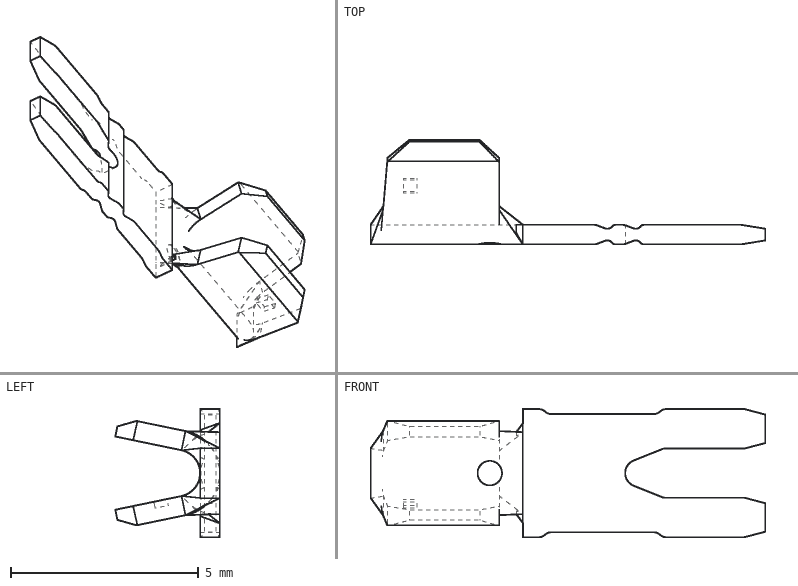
import cadquery as cq
import math

length = 10.54
plate_width = 3.43
height = 2.79
sheet = 0.53

bottom_radius = 1.15
bore_radius = bottom_radius - sheet
wing_angle = math.radians(11.7)
barrel_start = 0.25
barrel_end = 3.44
wing_start = 0.44
shoulder_height = 2.22
corner_depth = 0.5
crest_start = 1.03
crest_end = 2.91
tip_land = 0.27

tab_half_width = 0.66
neck_half_width = 1.1
flare_length = 0.18
flare_half_width = 1.34
flare_top_half_width = 1.15
flare_inner_half_width = 0.74
flare_rise = 0.31

plate_start = 4.07
half_width = plate_width / 2
waist_half_width = 1.58
waist_start = 4.82
waist_end = 7.57
blend_radius = 0.21
step_angle = math.radians(36.9)

slot_half_width = 0.65
slot_end = 6.8
throat_end = 7.82
throat_angle = math.radians(21.8)
tip_bevel_start = 9.9
tip_bevel_depth = 0.11
tip_side_start = 9.98
tip_inset = 0.15

groove_start = 5.98
groove_pitch = 0.76
groove_lip = (0.06, 0.012)
groove_lip_middle = (0.03, 0.003)
groove_ramp_end = (0.28, 0.1)
groove_rise = (0.47, 0.04)
groove_width = 0.57
boss_x = 3.18
boss_radius = 0.33

pocket_start = 0.87
pocket_top = 1.77
pocket_size = 0.36
pocket_depth = 0.17


def wing_point(radius, y):
    """Half-width of a wing face, tangent to the arc of the given radius, at height y."""
    return (radius + (y - bottom_radius) * math.sin(wing_angle)) / math.cos(wing_angle)


def tangent_point(radius):
    """Height and half-width at which a wing face leaves the arc."""
    y = bottom_radius - radius * math.sin(wing_angle)
    return y, radius * math.cos(wing_angle)


def saddle():
    """Curved bottom of the barrel, up to where the wings begin."""
    outer_y, outer_z = tangent_point(bottom_radius)
    inner_y, inner_z = tangent_point(bore_radius)
    profile = (
        cq.Workplane("YZ")
        .moveTo(outer_y, -outer_z)
        .threePointArc((0, 0), (outer_y, outer_z))
        .lineTo(inner_y, inner_z)
        .threePointArc((bottom_radius - bore_radius, 0), (inner_y, -inner_z))
        .close()
    )
    return trim_barrel(profile.extrude(barrel_end))


def wing():
    """Upper straight wing, with a bevelled free edge and two cut corners."""
    outer_y, outer_z = tangent_point(bottom_radius)
    inner_y, inner_z = tangent_point(bore_radius)
    tip_inner_z = wing_point(bore_radius, height)
    tip_outer_y = height - tip_land * math.tan(wing_angle)
    profile = (
        cq.Workplane("YZ")
        .moveTo(outer_y, outer_z)
        .lineTo(shoulder_height, wing_point(bottom_radius, shoulder_height))
        .lineTo(tip_outer_y, tip_inner_z + tip_land)
        .lineTo(height, tip_inner_z)
        .lineTo(inner_y, inner_z)
        .close()
    )
    inner_face = cq.Plane(
        origin=(0, height, tip_inner_z),
        xDir=(1, 0, 0),
        normal=(0, -math.sin(wing_angle), math.cos(wing_angle)),
    )
    front_corner = [
        (barrel_start, -corner_depth),
        (wing_start, -corner_depth),
        (crest_start, 0),
        (barrel_start, 0),
    ]
    rear_corner = [
        (barrel_end, -corner_depth),
        (crest_end, 0),
        (barrel_end, 0),
    ]
    body = trim_barrel(profile.extrude(barrel_end))
    for corner in (front_corner, rear_corner):
        body = body.cut(cq.Workplane(inner_face).polyline(corner).close().extrude(sheet, both=True))
    return body


def trim_barrel(body):
    """Cut the barrel's sloping front edge."""
    low = -sheet
    slope = (wing_start - barrel_start) / shoulder_height
    outline = (
        cq.Workplane("XY")
        .moveTo(barrel_start + slope * low, low)
        .lineTo(barrel_start + slope * height, height)
        .lineTo(barrel_end, height)
        .lineTo(barrel_end, low)
        .close()
        .extrude(half_width, both=True)
    )
    return body.intersect(outline)


def transition(end_face, x, half_z):
    """Ruled body from an end of the saddle to a flat rectangle at x."""
    rectangle = cq.Wire.makePolygon(
        [
            cq.Vector(x, 0, -half_z),
            cq.Vector(x, 0, half_z),
            cq.Vector(x, sheet, half_z),
            cq.Vector(x, sheet, -half_z),
        ],
        close=True,
    )
    return cq.Workplane(cq.Solid.makeLoft([end_face.outerWire(), rectangle], True))


def flare():
    """Upper wedge that widens the neck where it meets the plate."""
    thin_end = [
        (flare_rise, flare_inner_half_width),
        (flare_rise, neck_half_width),
        (sheet, neck_half_width),
        (sheet, flare_inner_half_width),
    ]
    wide_end = [
        (0, flare_inner_half_width),
        (0, flare_half_width),
        (sheet, flare_top_half_width),
        (sheet, flare_inner_half_width),
    ]
    return (
        cq.Workplane("YZ", origin=(plate_start - flare_length, 0, 0))
        .polyline(thin_end)
        .close()
        .workplane(offset=flare_length)
        .polyline(wide_end)
        .close()
        .loft(ruled=True, combine=True)
    )


def plate_side(side):
    """Half of the plate, waisted in the middle by smooth steps."""
    drop = half_width - waist_half_width
    arc_run = blend_radius * math.sin(step_angle)
    arc_drop = blend_radius * (1 - math.cos(step_angle))
    step_run = 2 * arc_run + (drop - 2 * arc_drop) / math.tan(step_angle)
    step_start = waist_start - step_run
    step_end = waist_end + step_run
    high = half_width - arc_drop
    low = waist_half_width + arc_drop
    outline = (
        cq.Workplane("XZ")
        .moveTo(plate_start, 0)
        .lineTo(plate_start, side * half_width)
        .lineTo(step_start, side * half_width)
        .tangentArcPoint((step_start + arc_run, side * high), relative=False)
        .lineTo(waist_start - arc_run, side * low)
        .tangentArcPoint((waist_start, side * waist_half_width), relative=False)
        .lineTo(waist_end, side * waist_half_width)
        .tangentArcPoint((waist_end + arc_run, side * low), relative=False)
        .lineTo(step_end - arc_run, side * high)
        .tangentArcPoint((step_end, side * half_width), relative=False)
        .lineTo(tip_side_start, side * half_width)
        .lineTo(length, side * (half_width - tip_inset))
        .lineTo(length, 0)
        .close()
    )
    return outline.extrude(-sheet)


def fork_slot():
    """Slot with a round end and a tapered throat."""
    slope = math.tan(throat_angle)
    end_radius = (
        (slot_half_width - slope * (throat_end - slot_end))
        * math.cos(throat_angle) / (1 - math.sin(throat_angle))
    )
    arc_x = slot_end + end_radius * (1 - math.sin(throat_angle))
    arc_z = end_radius * math.cos(throat_angle)
    slot = (
        cq.Workplane("XZ")
        .moveTo(arc_x, -arc_z)
        .threePointArc((slot_end, 0), (arc_x, arc_z))
        .lineTo(throat_end, slot_half_width)
        .lineTo(tip_side_start, slot_half_width)
        .lineTo(length, slot_half_width + tip_inset)
        .lineTo(length, -slot_half_width - tip_inset)
        .lineTo(tip_side_start, -slot_half_width)
        .lineTo(throat_end, -slot_half_width)
        .close()
        .extrude(-sheet)
    )
    margin = 0.11
    throat_edges = cq.selectors.BoxSelector(
        (throat_end - margin, -margin, -half_width),
        (throat_end + margin, sheet + margin, half_width),
    )
    return slot.edges("|Y").edges(throat_edges).fillet(blend_radius)


def tip_bevel(base, inward):
    """Wedge that thins the prong tips from one face of the plate."""
    return (
        cq.Workplane("XY")
        .moveTo(tip_bevel_start, base)
        .lineTo(length, base)
        .lineTo(length, base + inward * tip_bevel_depth)
        .close()
        .extrude(half_width, both=True)
    )


def groove(x, base, inward):
    """Cross groove with a long ramp, a round bottom and a rounded far edge."""
    def at(point):
        run, depth = point
        return x + run, base + inward * depth

    return (
        cq.Workplane("XY")
        .moveTo(x, base)
        .threePointArc(at(groove_lip_middle), at(groove_lip))
        .lineTo(*at(groove_ramp_end))
        .tangentArcPoint(at(groove_rise), relative=False)
        .tangentArcPoint((x + groove_width, base), relative=False)
        .close()
        .extrude(half_width, both=True)
    )


def flat_boss():
    """Round boss, flush with the bottom of the plate."""
    return (
        cq.Workplane("XZ", origin=(boss_x, 0, 0))
        .circle(boss_radius)
        .extrude(-sheet / 2)
    )


def wing_pocket():
    """Blind square pocket in the inner face of the lower wing."""
    center_y = pocket_top - pocket_size / 2
    center = (pocket_start + pocket_size / 2, center_y, -wing_point(bore_radius, center_y))
    outward = (0, -math.sin(wing_angle), -math.cos(wing_angle))
    face = cq.Plane(origin=center, xDir=(1, 0, 0), normal=outward)
    return cq.Workplane(face).rect(pocket_size, pocket_size).extrude(pocket_depth)


barrel_bottom = saddle()
tab = transition(barrel_bottom.faces("<X").val(), 0, tab_half_width)
neck = transition(barrel_bottom.faces(">X").val(), plate_start, neck_half_width)
result = barrel_bottom.union(tab).union(neck).union(flat_boss())

plate = plate_side(1).union(plate_side(-1)).cut(fork_slot())
for base, inward in ((0, 1), (sheet, -1)):
    plate = plate.cut(tip_bevel(base, inward))
    for x in (groove_start, groove_start + groove_pitch):
        plate = plate.cut(groove(x, base, inward))
result = result.union(plate)

for upper in (wing(), flare()):
    result = result.union(upper).union(upper.mirror("XY"))

result = result.cut(wing_pocket())